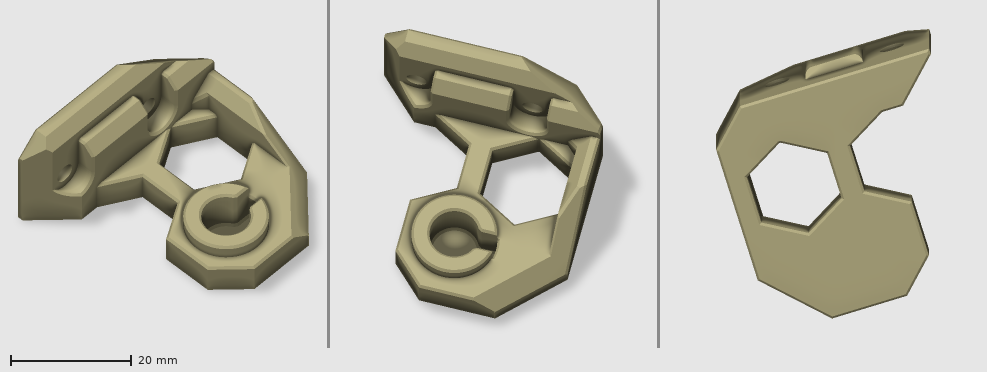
import cadquery as cq
import math


EDGE_BREAK = 0.4
BACK_Y = 22.5
FRONT_Y = -16.5
RIGHT_X = 39.2
FLOOR_HEIGHT = 6.0

UPRIGHT_HEIGHT = 20.0
UPRIGHT_THICKNESS = 4.55
STEP_HEIGHT = 16.0
STEP_DEPTH = 8.0
UPRIGHT_BEVEL = 2.0
FRONT_CORNER = 4.0
FRONT_TIP = 1.0

WALL_HEIGHT = 12.0
WALL_TOP_WIDTH = 1.5
WALL_BEVEL = 2.0
WALL_FACE_Y = BACK_Y - WALL_TOP_WIDTH - WALL_BEVEL
WEB_SIZE = 2.0

HEX_APOTHEM = 7.0
HEX_RADIUS = HEX_APOTHEM / math.cos(math.pi / 6)
HEX_X = 16.0
HEX_PITCH = 18.0
BACK_HEX_Y = WALL_FACE_Y - HEX_APOTHEM
FRONT_HEX_Y = BACK_HEX_Y - HEX_PITCH

FLOOR_START_X = UPRIGHT_THICKNESS
FLOOR_FRONT_Y = FRONT_HEX_Y
FLOOR_CORNER = 5.5

LEFT_CORNER = 6.0
LEFT_SLOPE_BASE = 13.0
RIGHT_CORNER = 9.9
RIGHT_SLOPE_BASE = 3.05
NIB = 0.1

BOSS_X = 29.3
BOSS_Y = 3.0
BOSS_RADIUS = 7.15
BOSS_TOP = 8.5
BORE_RADIUS = 4.15
BORE_FLOOR = 1.0
KEY_WIDTH = 3.0
KEY_REACH = 7.18

BOLT_SPACING = 20.0
BOLT_YS = (-BOLT_SPACING / 2, BOLT_SPACING / 2)
BOLT_Z = 10.0
BOLT_RADIUS = 3.5 / 2
POCKET_RADIUS = 3.25

TONGUE_WIDTH = 10.0
TONGUE_HEIGHT = 9.0
TONGUE_DEPTH = 1.4
TONGUE_SLOPE = 1.7

CLEAR = 1.0
TOL = 0.01



def outer_face(p):
    return p.x


def step_face(p):
    return p.x - STEP_DEPTH


def back_face(p):
    return p.y - BACK_Y


def upright_top(p):
    return p.z - UPRIGHT_HEIGHT


def floor_top(p):
    return p.z - FLOOR_HEIGHT


def boss_top(p):
    return p.z - BOSS_TOP


def front_corner(p):
    return (p.z - UPRIGHT_HEIGHT + FRONT_CORNER) - (p.y - FRONT_Y)


def front_end(p):
    return (p.x - FRONT_TIP) - (p.y - FRONT_Y)


def wall_face(p):
    return p.y - WALL_FACE_Y


def wall_bevel(p):
    return (WALL_HEIGHT - p.z) - (BACK_Y - WALL_TOP_WIDTH - p.y)


def web_face(p):
    return (p.x - STEP_DEPTH - WEB_SIZE) - (p.y - WALL_FACE_Y)


def right_slope(p):
    outward = (p.x - RIGHT_X + p.y - BACK_Y + RIGHT_CORNER) / math.sqrt(2)
    return outward + p.z - RIGHT_SLOPE_BASE



def edge_points(edge):
    """Start, middle and end of an edge."""
    return [edge.positionAt(t) for t in (0.0, 0.5, 1.0)]


def lies_on(edge, *surfaces):
    """True when an edge runs along every given surface."""
    return all(abs(surface(p)) < TOL for p in edge_points(edge) for surface in surfaces)


def break_edges(body, wanted):
    """Chamfer every edge that the test accepts."""
    edges = [edge for edge in body.edges().vals() if wanted(edge)]
    return body.newObject(edges).chamfer(EDGE_BREAK)


def break_edge_between(body, first, second):
    return break_edges(body, lambda edge: lies_on(edge, first, second))


def facing_in(x, y, z):
    """Plane at the given point of the upright, drawn along +Y and +Z, extruding along +X."""
    return cq.Workplane(cq.Plane(origin=(x, y, z), xDir=(0, 1, 0), normal=(1, 0, 0)))



def plan_prism():
    """Full-height prism over the outline of the whole part."""
    points = [
        (0, FRONT_Y),
        (FRONT_TIP, FRONT_Y),
        (STEP_DEPTH, FRONT_Y + STEP_DEPTH - FRONT_TIP),
        (STEP_DEPTH, FLOOR_FRONT_Y),
        (RIGHT_X - FLOOR_CORNER, FLOOR_FRONT_Y),
        (RIGHT_X, FLOOR_FRONT_Y + FLOOR_CORNER),
        (RIGHT_X, BACK_Y - RIGHT_CORNER),
        (RIGHT_X - RIGHT_CORNER, BACK_Y),
        (LEFT_CORNER, BACK_Y),
        (0, BACK_Y - LEFT_CORNER),
    ]
    return cq.Workplane("XY").polyline(points).close().extrude(UPRIGHT_HEIGHT)


def floor_slab():
    """Floor with its hexagonal openings and chamfered top edges."""
    block = (
        cq.Workplane("XY", origin=(FLOOR_START_X, FLOOR_FRONT_Y, 0))
        .rect(RIGHT_X - FLOOR_START_X, BACK_Y - FLOOR_FRONT_Y, centered=False)
        .extrude(FLOOR_HEIGHT)
    )
    slab = block.intersect(plan_prism())
    openings = (
        cq.Workplane("XY")
        .pushPoints([(HEX_X, BACK_HEX_Y), (HEX_X, FRONT_HEX_Y)])
        .polygon(6, 2 * HEX_RADIUS)
        .extrude(FLOOR_HEIGHT)
    )
    return slab.cut(openings).faces(">Z").edges().chamfer(EDGE_BREAK)


def upright():
    """Upright and step, with the front top corner cut off."""
    profile = [
        (0, 0),
        (STEP_DEPTH, 0),
        (STEP_DEPTH, STEP_HEIGHT - UPRIGHT_BEVEL),
        (STEP_DEPTH - UPRIGHT_BEVEL, STEP_HEIGHT),
        (UPRIGHT_THICKNESS, STEP_HEIGHT),
        (UPRIGHT_THICKNESS, UPRIGHT_HEIGHT - UPRIGHT_BEVEL),
        (UPRIGHT_THICKNESS - UPRIGHT_BEVEL, UPRIGHT_HEIGHT),
        (0, UPRIGHT_HEIGHT),
    ]
    start = cq.Workplane("XZ", origin=(0, BACK_Y, 0))
    body = start.polyline(profile).close().extrude(BACK_Y - FRONT_Y)
    corner = (
        facing_in(0, FRONT_Y, UPRIGHT_HEIGHT)
        .polyline([(0, 0), (FRONT_CORNER, 0), (0, -FRONT_CORNER)])
        .close()
        .extrude(STEP_DEPTH)
    )
    return body.cut(corner)


def back_wall():
    """Bevelled wall along the back, with the corner web that joins it to the step."""
    web_y = WALL_FACE_Y - WEB_SIZE
    length = RIGHT_X - STEP_DEPTH
    profile = [
        (BACK_Y, 0),
        (BACK_Y, WALL_HEIGHT),
        (BACK_Y - WALL_TOP_WIDTH, WALL_HEIGHT),
        (web_y, WALL_HEIGHT - WALL_BEVEL - WEB_SIZE),
        (web_y, 0),
    ]
    footprint = [
        (STEP_DEPTH, BACK_Y),
        (STEP_DEPTH, web_y),
        (STEP_DEPTH + WEB_SIZE, WALL_FACE_Y),
        (RIGHT_X, WALL_FACE_Y),
        (RIGHT_X, BACK_Y),
    ]
    wall = facing_in(STEP_DEPTH, 0, 0).polyline(profile).close().extrude(length)
    return wall.intersect(cq.Workplane("XY").polyline(footprint).close().extrude(WALL_HEIGHT))


def above_slope(x, y, base, side):
    """Space above the 45 degree slope on a back corner; side is -1 for left, +1 for right."""
    reach = UPRIGHT_HEIGHT
    plane = cq.Plane(origin=(x, y, base), xDir=(side, 1, 0), normal=(1, -side, 0))
    up = math.copysign(1, plane.yDir.z)
    return (
        cq.Workplane(plane)
        .polyline([(CLEAR, -up * CLEAR), (-reach, up * reach), (CLEAR, up * reach)])
        .close()
        .extrude(2 * reach, both=True)
    )


def main_body():
    body = floor_slab().union(upright()).union(back_wall()).intersect(plan_prism())
    body = body.cut(above_slope(0, BACK_Y - LEFT_CORNER, LEFT_SLOPE_BASE, -1))
    return body.cut(above_slope(RIGHT_X, BACK_Y - RIGHT_CORNER, RIGHT_SLOPE_BASE, 1))


def break_body_edges(body):
    """Small chamfers on the wall, the upright and the underside."""
    def is_back_top(edge):
        sideways = abs(edge.tangentAt(0.5).x) > TOL
        return lies_on(edge, back_face) and sideways and edge.Center().z > TOL

    def is_upright_rim(edge):
        return lies_on(edge, outer_face, upright_top) or lies_on(edge, outer_face, front_corner)

    body = break_edge_between(body, right_slope, wall_bevel)
    body = break_edge_between(body, right_slope, wall_face)
    body = break_edge_between(body, web_face, wall_bevel)
    body = break_edges(body, is_back_top)
    body = break_edges(body, is_upright_rim)
    return body.faces("<Z").edges().chamfer(EDGE_BREAK)



def cut_bolt_pocket(body, center_y):
    """U-shaped pocket in the step, open at the top and the inner side, with a chamfered rim."""
    def pocket_wall(p):
        side = abs(p.y - center_y)
        drop = max(BOLT_Z - p.z, 0)
        return math.hypot(side, drop) - POCKET_RADIUS

    def is_rim(edge):
        on_step_top = edge.Center().z > BOLT_Z + TOL and edge.Center().x > UPRIGHT_THICKNESS + TOL
        return lies_on(edge, pocket_wall) and (lies_on(edge, step_face) or on_step_top)

    def is_front_rim(edge):
        return lies_on(edge, pocket_wall, front_end)

    top = STEP_HEIGHT - BOLT_Z + CLEAR
    pocket = (
        facing_in(UPRIGHT_THICKNESS, center_y, BOLT_Z)
        .moveTo(-POCKET_RADIUS, top)
        .lineTo(-POCKET_RADIUS, 0)
        .threePointArc((0, -POCKET_RADIUS), (POCKET_RADIUS, 0))
        .lineTo(POCKET_RADIUS, top)
        .close()
        .extrude(STEP_DEPTH - UPRIGHT_THICKNESS + CLEAR)
    )
    body = break_edges(body.cut(pocket), is_rim)
    if any(is_front_rim(edge) for edge in body.edges().vals()):
        body = break_edges(body, is_front_rim)
    return body


def drill_bolt_hole(body, center_y):
    """Bolt hole through the upright, chamfered on the outer face."""
    start = facing_in(0, center_y, BOLT_Z)
    hole = start.circle(BOLT_RADIUS).extrude(UPRIGHT_THICKNESS)
    flare = start.circle(BOLT_RADIUS + EDGE_BREAK).extrude(EDGE_BREAK, taper=45)
    return body.cut(hole).cut(flare)



def tongue():
    """Tongue on the outer face, with rounded sides and a sloped top and bottom."""
    block = (
        cq.Workplane("XY")
        .box(2 * TONGUE_DEPTH, TONGUE_WIDTH, TONGUE_HEIGHT)
        .edges("|Z and <X")
        .fillet(TONGUE_DEPTH)
    )
    half = TONGUE_HEIGHT / 2
    profile = [
        (TONGUE_DEPTH, -half),
        (0, -half),
        (-TONGUE_DEPTH, TONGUE_SLOPE - half),
        (-TONGUE_DEPTH, half - TONGUE_SLOPE),
        (0, half),
        (TONGUE_DEPTH, half),
    ]
    slopes = cq.Workplane("XZ").polyline(profile).close().extrude(TONGUE_WIDTH, both=True)
    return block.intersect(slopes).translate((0, 0, BOLT_Z))



def boss_distance(p):
    """Distance of a point from the boss axis."""
    return math.hypot(p.x - BOSS_X, p.y - BOSS_Y)


def boss():
    return (
        cq.Workplane("XY", origin=(BOSS_X, BOSS_Y, FLOOR_HEIGHT))
        .circle(BOSS_RADIUS)
        .extrude(BOSS_TOP - FLOOR_HEIGHT)
        .faces(">Z").edges().chamfer(EDGE_BREAK)
    )


def keyed_bore():
    """Blind bore with a keyway towards the back, chamfered where they meet and at the floor."""
    def is_key_corner(edge):
        upright_edge = abs(edge.tangentAt(0.5).z) > 1 - TOL
        in_key = edge.Center().y > BOSS_Y + KEY_WIDTH / 2
        return upright_edge and in_key and boss_distance(edge.Center()) < BORE_RADIUS + TOL

    depth = BOSS_TOP - BORE_FLOOR + CLEAR
    start = cq.Workplane("XY", origin=(BOSS_X, BOSS_Y, BORE_FLOOR))
    key_strip = (
        start.center(-KEY_WIDTH / 2, 0)
        .rect(KEY_WIDTH, KEY_REACH + CLEAR, centered=False)
        .extrude(depth)
    )
    key = key_strip.intersect(start.circle(KEY_REACH).extrude(depth))
    bore = start.circle(BORE_RADIUS).extrude(depth).union(key)
    bore = break_edges(bore, is_key_corner)
    return bore.faces("<Z").edges().chamfer(EDGE_BREAK)


def break_bore_rim(body):
    """Chamfer the bore's mouth on the boss and the end of the keyway in the floor."""
    boss_rim_radius = BOSS_RADIUS - EDGE_BREAK

    def is_mouth(edge):
        nearest = min(boss_distance(p) for p in edge_points(edge))
        return lies_on(edge, boss_top) and nearest < boss_rim_radius - TOL

    def is_key_end(edge):
        farthest = max(boss_distance(p) for p in edge_points(edge))
        return lies_on(edge, floor_top) and BOSS_RADIUS + TOL < farthest < KEY_REACH + TOL

    return break_edges(break_edges(body, is_mouth), is_key_end)



def corner_nib():
    """Sliver that carries the back right corner face slightly past the right side."""
    corner_y = BACK_Y - RIGHT_CORNER
    return (
        cq.Workplane("XY", origin=(RIGHT_X, corner_y, EDGE_BREAK))
        .polyline([(-NIB, NIB), (NIB, -NIB), (0, -2 * NIB)])
        .close()
        .extrude(RIGHT_SLOPE_BASE - EDGE_BREAK)
    )


result = break_body_edges(main_body())
for bolt_y in BOLT_YS:
    result = cut_bolt_pocket(result, bolt_y)
    result = drill_bolt_hole(result, bolt_y)
result = result.union(tongue()).union(boss()).cut(keyed_bore())
result = break_bore_rim(result).union(corner_nib())